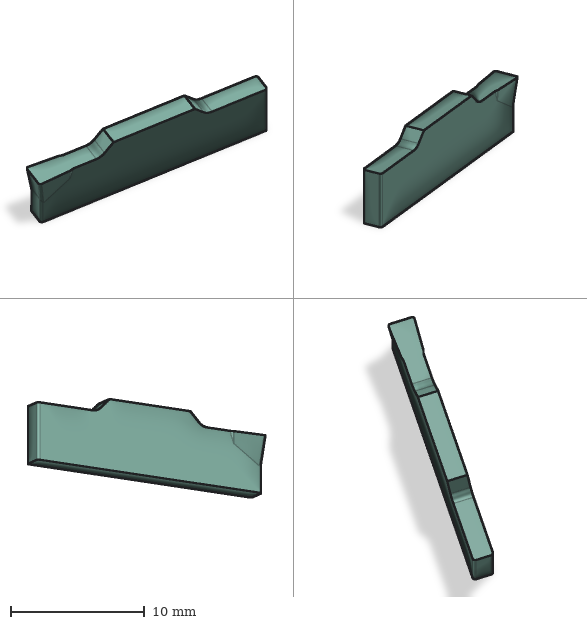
import cadquery as cq
import math

blade_length = 19.75
blade_width = 1.6
shelf_height = 4.45
total_height = 5.51
corner_radius = 0.2

hump_rear_offset = 6.25
hump_flat_length = 7.0
hump_slope_angle = 45.0
hump_root_radius = 1.0

edge_width = 2.073
front_relief_angle = 7.0
front_relief_depth = 2.0
side_relief_angle = 5.0
side_taper_angle = 3.25
taper_length = 2.75
shoulder_angle = 15.0
shoulder_run = 1.0
shoulder_radius = 0.3
head_depth = 2.8

front_end = front_relief_depth * math.tan(math.radians(front_relief_angle))


def make_blade():
    """Straight blade with rounded upright corners and a raised centre section."""
    hump_rear = blade_length - hump_rear_offset
    hump_front = hump_rear - hump_flat_length
    slope_run = (total_height - shelf_height) / math.tan(math.radians(hump_slope_angle))
    foot_front = hump_front - slope_run
    foot_rear = hump_rear + slope_run
    outline = [
        (front_end, 0),
        (blade_length, 0),
        (blade_length, shelf_height),
        (foot_rear, shelf_height),
        (hump_rear, total_height),
        (hump_front, total_height),
        (foot_front, shelf_height),
        (front_end, shelf_height),
    ]
    blade = cq.Workplane("YZ").polyline(outline).close().extrude(blade_width / 2, both=True)
    for foot in (foot_front, foot_rear):
        root_edge = cq.selectors.NearestToPointSelector((0, foot, shelf_height))
        blade = blade.edges(root_edge).fillet(hump_root_radius)
    return blade.edges("|Z").fillet(corner_radius)


def head_outline(depth):
    """Points (x, y) of the head's cross-section at a depth below the shelf."""
    front = depth * math.tan(math.radians(front_relief_angle))
    side_inset = depth * math.tan(math.radians(side_relief_angle))
    taper = math.tan(math.radians(side_taper_angle))
    half_edge = edge_width / 2 - side_inset
    half_front = half_edge - front * taper
    half_shoulder = half_edge - taper_length * taper
    half_rear = half_shoulder - shoulder_run * math.tan(math.radians(shoulder_angle))
    right_side = [
        (half_front, front),
        (half_shoulder, taper_length),
        (half_rear, taper_length + shoulder_run),
    ]
    left_side = [(-x, y) for x, y in reversed(right_side)]
    return right_side + left_side


def make_head():
    """Cutting head, relieved at the front and sides below the cutting edge."""
    head = (
        cq.Workplane("XY", origin=(0, 0, shelf_height))
        .polyline(head_outline(0)).close()
        .workplane(offset=-head_depth)
        .polyline(head_outline(head_depth)).close()
        .loft(ruled=True)
    )
    middle_outline = head_outline(head_depth / 2)
    middle_height = shelf_height - head_depth / 2
    for index, radius in ((0, corner_radius), (1, shoulder_radius)):
        x, y = middle_outline[index]
        for side in (-1, 1):
            upright_edge = cq.selectors.NearestToPointSelector((side * x, y, middle_height))
            head = head.edges(upright_edge).fillet(radius)
    return head


result = make_blade().union(make_head())